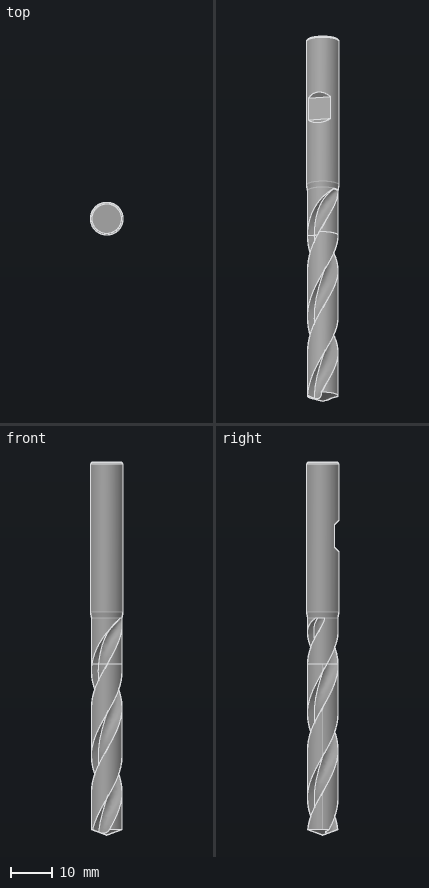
import cadquery as cq
import math

OVERALL_LENGTH = 91.0
SHANK_DIAMETER = 8.0
DRILL_DIAMETER = 7.5
SHANK_LENGTH = 38.0
CUTTING_LENGTH = 41.75
COLLAR_HEIGHT = 1.4
SHANK_CHAMFER = 0.4
POINT_ANGLE = 140.0

FLAT_DEPTH = 1.1
FLAT_LENGTH = 5.5
FLAT_CENTRE_FROM_TOP = 18.0

FLUTE_COUNT = 2
FLUTE_PITCH = 41.3
FLUTE_START_ANGLE = 50.0
FLUTE_SPAN = 76.0
HEEL_DEPTH_RATIO = 0.555
CORE_RATIO = 0.36
RUNOUT_RISE = 2.4
RUNOUT_ANGLE = 45.0
RUNOUT_EXPONENT = 4
RUNOUT_STEPS = 8
CUTTER_OVERSIZE = 1.5

shank_radius = SHANK_DIAMETER / 2
drill_radius = DRILL_DIAMETER / 2
shoulder_z = OVERALL_LENGTH - SHANK_LENGTH
collar_top_z = shoulder_z + COLLAR_HEIGHT
point_height = drill_radius / math.tan(math.radians(POINT_ANGLE / 2))


def polar(radius, angle):
    """Point at a radius and an angle in degrees."""
    return (radius * math.cos(math.radians(angle)), radius * math.sin(math.radians(angle)))


def flute_profile(z, rise=0.0):
    """Flute cross-section at height z, moved outward by rise along the run-out direction."""
    half_span = FLUTE_SPAN / 2
    outer_radius = CUTTER_OVERSIZE * drill_radius
    heel_foot = polar(HEEL_DEPTH_RATIO * drill_radius, -half_span)
    floor = (CORE_RATIO * drill_radius, 0)
    cutting_edge = polar(drill_radius, half_span)
    middle_angle = FLUTE_START_ANGLE + 360 * z / FLUTE_PITCH
    plane = cq.Plane(origin=(0, 0, z)).rotated((0, 0, middle_angle))
    return (
        cq.Workplane(plane)
        .center(*polar(rise, RUNOUT_ANGLE))
        .moveTo(*polar(outer_radius, -half_span))
        .lineTo(*heel_foot)
        .threePointArc(floor, cutting_edge)
        .lineTo(*polar(outer_radius, half_span))
        .close()
    )


def flute_cutter():
    """Helical flute cutter of full depth, as long as the lower body."""
    twist = 360 * CUTTING_LENGTH / FLUTE_PITCH
    return flute_profile(0).twistExtrude(CUTTING_LENGTH, twist)


def runout_cutter():
    """Upper end of the flute, rising out of the drill towards the collar."""
    length = shoulder_z - CUTTING_LENGTH
    sections = []
    for step in range(RUNOUT_STEPS + 1):
        fraction = step / RUNOUT_STEPS
        rise = RUNOUT_RISE * fraction ** RUNOUT_EXPONENT
        sections.append(flute_profile(CUTTING_LENGTH + fraction * length, rise).wire().val())
    return cq.Workplane(cq.Solid.makeLoft(sections))


def cut_flutes(body, cutter):
    for index in range(FLUTE_COUNT):
        body = body.cut(cutter.rotate((0, 0, 0), (0, 0, 1), index * 360 / FLUTE_COUNT))
    return body


def cutting_part():
    """Lower body: conical point and fluted cutting length."""
    blank = (
        cq.Workplane("XZ")
        .lineTo(drill_radius, point_height)
        .lineTo(drill_radius, CUTTING_LENGTH)
        .lineTo(0, CUTTING_LENGTH)
        .close()
        .revolve(360, (0, 0, 0), (0, 1, 0))
    )
    return cut_flutes(blank, flute_cutter())


def clamping_flat():
    """Trapezoidal notch with 45 degree ends, open on the +Y side."""
    floor_y = shank_radius - FLAT_DEPTH
    centre_z = OVERALL_LENGTH - FLAT_CENTRE_FROM_TOP
    half_floor = FLAT_LENGTH / 2
    half_mouth = half_floor + FLAT_DEPTH
    return (
        cq.Workplane("YZ")
        .moveTo(floor_y, centre_z - half_floor)
        .lineTo(shank_radius, centre_z - half_mouth)
        .lineTo(shank_radius, centre_z + half_mouth)
        .lineTo(floor_y, centre_z + half_floor)
        .close()
        .extrude(shank_radius, both=True)
    )


def shank_part():
    """Upper body: end of the flutes, collar cone and shank."""
    blank = (
        cq.Workplane("XZ")
        .moveTo(0, CUTTING_LENGTH)
        .lineTo(drill_radius, CUTTING_LENGTH)
        .lineTo(drill_radius, shoulder_z)
        .lineTo(shank_radius, collar_top_z)
        .lineTo(shank_radius, OVERALL_LENGTH - SHANK_CHAMFER)
        .lineTo(shank_radius - SHANK_CHAMFER, OVERALL_LENGTH)
        .lineTo(0, OVERALL_LENGTH)
        .close()
        .revolve(360, (0, 0, 0), (0, 1, 0))
    )
    fluted = cut_flutes(blank, runout_cutter())
    return fluted.cut(clamping_flat())


cutting_body = cutting_part()
shank_body = shank_part()
result = cq.Compound.makeCompound([cutting_body.val(), shank_body.val()])